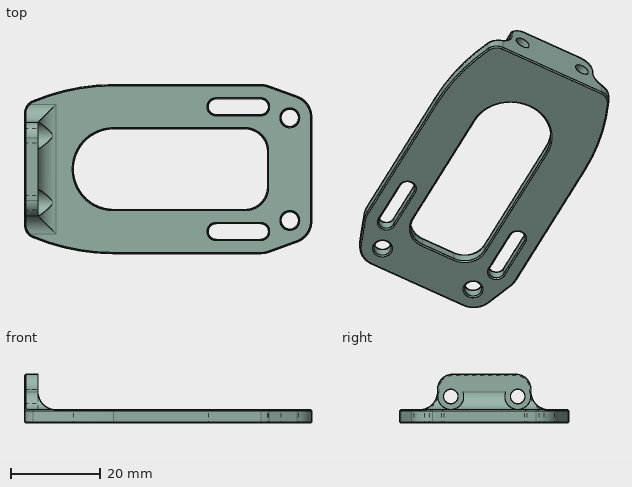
import cadquery as cq
import math

length = 64.5
width = 38.0
height = 11.0
thickness = 3.0
edge_chamfer = 0.3

front_width = 29.0
curve_end_x = 20.0
taper_start_x = 54.0
taper_angle = 20.0
front_corner_radius = 3.0
rear_corner_radius = 5.0

tab_width = 21.0
tab_top_radius = 3.5
tab_foot_radius = 4.0
tab_hole_diameter = 3.2
tab_hole_spacing = 15.0
tab_hole_height = 6.0
spotface_diameter = 5.8

window_radius = 9.0
window_rear_x = 54.5
window_corner_radius = 5.0
slot_width = 3.5
slot_travel = 10.0
slot_center_x = 48.0
slot_spacing = 28.0
rear_hole_diameter = 3.9
rear_hole_x = 59.55
rear_hole_spacing = 23.0
opening_reach = (slot_spacing + slot_width) / 2

margin = 0.65


def side_curve_middle():
    """Midpoint of the arc that runs tangent into the straight +Y side."""
    drop = (width - front_width) / 2
    radius = (curve_end_x**2 + drop**2) / (2 * drop)
    half_angle = math.asin(curve_end_x / radius) / 2
    return (
        curve_end_x - radius * math.sin(half_angle),
        width / 2 - radius * (1 - math.cos(half_angle)),
    )


def make_outline():
    """Full-height prism of the plate outline with its corners rounded."""
    half = width / 2
    front_half = front_width / 2
    rear_half = half - (length - taper_start_x) * math.tan(math.radians(taper_angle))
    middle_x, middle_y = side_curve_middle()
    prism = (
        cq.Workplane("XY")
        .moveTo(curve_end_x, half)
        .lineTo(taper_start_x, half)
        .lineTo(length, rear_half)
        .lineTo(length, -rear_half)
        .lineTo(taper_start_x, -half)
        .lineTo(curve_end_x, -half)
        .threePointArc((middle_x, -middle_y), (0, -front_half))
        .lineTo(0, front_half)
        .threePointArc((middle_x, middle_y), (curve_end_x, half))
        .close()
        .extrude(height)
    )
    prism = prism.edges("|Z and <X").fillet(front_corner_radius)
    rear_edges = cq.selectors.BoxSelector(
        (taper_start_x - margin, -width, 0), (length + margin, width, height)
    )
    return prism.edges("|Z").edges(rear_edges).fillet(rear_corner_radius)


def make_body():
    """L-shaped side profile crossed with the stepped front profile, cut to the outline."""
    side_profile = (
        cq.Workplane("XZ")
        .lineTo(length, 0)
        .lineTo(length, thickness)
        .lineTo(thickness + tab_foot_radius, thickness)
        .radiusArc((thickness, thickness + tab_foot_radius), tab_foot_radius)
        .lineTo(thickness, height)
        .lineTo(0, height)
        .close()
        .extrude(width / 2, both=True)
    )
    half = width / 2
    tab_half = tab_width / 2
    foot_half = tab_half + tab_foot_radius
    top_half = tab_half - tab_top_radius
    front_profile = (
        cq.Workplane("YZ")
        .moveTo(-half, 0)
        .lineTo(half, 0)
        .lineTo(half, thickness)
        .lineTo(foot_half, thickness)
        .radiusArc((tab_half, thickness + tab_foot_radius), tab_foot_radius)
        .lineTo(tab_half, height - tab_top_radius)
        .radiusArc((top_half, height), -tab_top_radius)
        .lineTo(-top_half, height)
        .radiusArc((-tab_half, height - tab_top_radius), -tab_top_radius)
        .lineTo(-tab_half, thickness + tab_foot_radius)
        .radiusArc((-foot_half, thickness), tab_foot_radius)
        .lineTo(-half, thickness)
        .close()
        .extrude(length)
    )
    return side_profile.intersect(front_profile).intersect(make_outline())


def chamfer_outer_rims(body):
    """Chamfer the bottom rim and the tangent-connected rim over plate and tab."""
    body = body.faces("<Z").chamfer(edge_chamfer)
    return body.edges(">Z").edges("<X").chamfer(edge_chamfer)


def make_plate_openings():
    """Window, slots and rear holes as one set of cutters through the plate."""
    rear_corner_x = window_rear_x - window_corner_radius
    flat_half = window_radius - window_corner_radius
    window = (
        cq.Workplane("XY")
        .moveTo(curve_end_x, window_radius)
        .lineTo(rear_corner_x, window_radius)
        .radiusArc((window_rear_x, flat_half), window_corner_radius)
        .lineTo(window_rear_x, -flat_half)
        .radiusArc((rear_corner_x, -window_radius), window_corner_radius)
        .lineTo(curve_end_x, -window_radius)
        .threePointArc((curve_end_x - window_radius, 0), (curve_end_x, window_radius))
        .close()
        .extrude(thickness)
    )
    slots = (
        cq.Workplane("XY")
        .pushPoints([(slot_center_x, side * slot_spacing / 2) for side in (-1, 1)])
        .slot2D(slot_travel + slot_width, slot_width)
        .extrude(thickness)
    )
    rear_holes = (
        cq.Workplane("XY")
        .pushPoints([(rear_hole_x, side * rear_hole_spacing / 2) for side in (-1, 1)])
        .circle(rear_hole_diameter / 2)
        .extrude(thickness)
    )
    return window.add(slots).add(rear_holes).combine()


def cut_plate_openings(body):
    """Cut the openings and chamfer their rims on both plate faces."""
    body = body.cut(make_plate_openings())
    for z in (0, thickness):
        rims = cq.selectors.BoxSelector(
            (thickness + tab_foot_radius + margin, -opening_reach - margin, z - margin),
            (length - margin, opening_reach + margin, z + margin),
            boundingbox=True,
        )
        body = body.edges(rims).chamfer(edge_chamfer)
    return body


def cut_tab_holes(body):
    """Cut the tab holes, each with a spotface level with the tab's rear face."""
    hole_points = [(side * tab_hole_spacing / 2, tab_hole_height) for side in (-1, 1)]
    holes = (
        cq.Workplane("YZ")
        .pushPoints(hole_points)
        .circle(tab_hole_diameter / 2)
        .extrude(thickness)
    )
    spotfaces = (
        cq.Workplane("YZ", origin=(thickness, 0, 0))
        .pushPoints(hole_points)
        .circle(spotface_diameter / 2)
        .extrude(tab_foot_radius)
    )
    return body.cut(holes).cut(spotfaces)


body = chamfer_outer_rims(make_body())
body = cut_plate_openings(body)
result = cut_tab_holes(body)